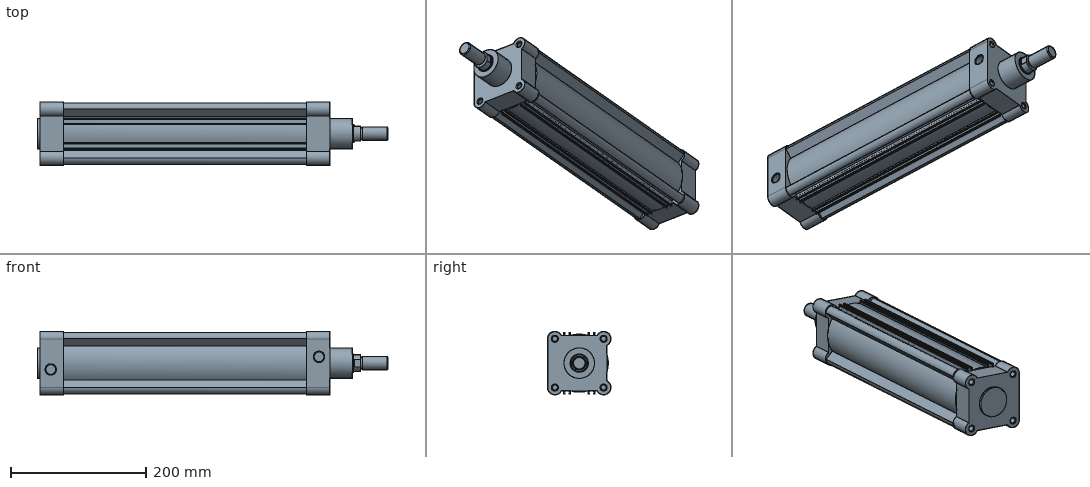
import cadquery as cq
import math

TOTAL_LENGTH = 518.0

CAP_LENGTH = 34.5
REAR_CAP_START = 3.5
FRONT_CAP_START = 397.5
REAR_CAP_END = REAR_CAP_START + CAP_LENGTH
FRONT_CAP_END = FRONT_CAP_START + CAP_LENGTH
CAP_FLAT = 41.0
SCREW_OFFSET = 36.0
LOBE_RADIUS = 11.0
LOBE_REACH = SCREW_OFFSET + LOBE_RADIUS
SCREW_HOLE_RADIUS = 3.9
SCREW_MOUTH_RADIUS = 5.0
SCREW_HOLE_DEPTH = 15.5
BOSS_RADIUS = 22.55
NOSE_END = 465.0
WIPER_RADIUS = 13.5
WIPER_END = 466.5

PORT_RADIUS = 7.0
PORT_MOUTH_RADIUS = 8.5
PORT_DEPTH = 13.0
PORT_DROP = 9.5
PORT_INSET = 16.0

BARREL_RADIUS = 43.0
RIB_RADIUS = 9.6
RIB_HALF_WIDTH = 6.5
SLOT_OFFSET = 18.0
SLOT_TOP = 45.5
SLOT_FLOOR = 39.0
RAIL_HALF_WIDTH = 4.9
UNDERCUT_HALF_WIDTH = 4.0
UNDERCUT_HEIGHT = 1.5
MOUTH_HALF_WIDTH = 3.0
LIP_THICKNESS = 1.0

ROD_RADIUS = 12.5
ROD_END = 477.5
FLAT_START = 468.5
FLAT_HALF_WIDTH = 11.15
THREAD_RADIUS = 10.1
TIP_CHAMFER = 1.5
THREAD_START_CHAMFER = 2.5

CORNER_SIGNS = [(y_sign, z_sign) for y_sign in (-1, 1) for z_sign in (-1, 1)]


def disc(start, end, radius, y=0.0, z=0.0):
    """Cylinder along X between two stations."""
    return cq.Workplane("YZ", origin=(start, y, z)).circle(radius).extrude(end - start)


def bar(start, end, y_range, z_range):
    """Rectangular bar along X."""
    size = (end - start, y_range[1] - y_range[0], z_range[1] - z_range[0])
    return cq.Workplane("XY").box(*size, centered=False).translate((start, y_range[0], z_range[0]))


def chamfered_hole(origin, direction, radius, mouth_radius, depth):
    """Cutter for a blind hole with a 45 degree countersunk mouth."""
    point = cq.Vector(*origin)
    axis = cq.Vector(*direction)
    hole = cq.Solid.makeCylinder(radius, depth, point, axis)
    mouth = cq.Solid.makeCone(mouth_radius, radius, mouth_radius - radius, point, axis)
    return cq.Workplane(hole.fuse(mouth))


def cap_block(start, outer_face, inward, port_z):
    """Cap with corner lobes, a flat port face on -Y, screw holes in the outer face and one port."""
    end = start + CAP_LENGTH
    block = bar(start, end, (-CAP_FLAT, CAP_FLAT), (-CAP_FLAT, CAP_FLAT))
    block = block.union(bar(start, end, (-LOBE_REACH, -SCREW_OFFSET), (-SCREW_OFFSET, SCREW_OFFSET)))
    for y_sign, z_sign in CORNER_SIGNS:
        block = block.union(disc(start, end, LOBE_RADIUS, y_sign * SCREW_OFFSET, z_sign * SCREW_OFFSET))
    for y_sign, z_sign in CORNER_SIGNS:
        mouth = (outer_face, y_sign * SCREW_OFFSET, z_sign * SCREW_OFFSET)
        hole = chamfered_hole(mouth, (inward, 0, 0), SCREW_HOLE_RADIUS, SCREW_MOUTH_RADIUS, SCREW_HOLE_DEPTH)
        block = block.cut(hole)
    port_mouth = (outer_face + inward * PORT_INSET, -LOBE_REACH, port_z)
    return block.cut(chamfered_hole(port_mouth, (0, 1, 0), PORT_RADIUS, PORT_MOUTH_RADIUS, PORT_DEPTH))


def make_rear_cap():
    """Rear cap with its low centring boss."""
    cap = cap_block(REAR_CAP_START, REAR_CAP_START, 1, -PORT_DROP)
    return cap.union(disc(0, REAR_CAP_START, BOSS_RADIUS))


def make_front_cap():
    """Front cap with the nose and the wiper ring around the rod."""
    cap = cap_block(FRONT_CAP_START, FRONT_CAP_END, -1, PORT_DROP)
    cap = cap.union(disc(FRONT_CAP_END, NOSE_END, BOSS_RADIUS))
    return cap.union(disc(NOSE_END, WIPER_END, WIPER_RADIUS))


def corner_rib():
    """Diagonal rib at the +Y +Z corner: parallel sides at 45 degrees and a rounded outer end."""
    screw_distance = SCREW_OFFSET * math.sqrt(2)
    side_length = screw_distance + math.sqrt(RIB_RADIUS**2 - RIB_HALF_WIDTH**2)
    return (
        cq.Workplane("YZ", origin=(REAR_CAP_END, 0, 0))
        .moveTo(0, RIB_HALF_WIDTH)
        .lineTo(side_length, RIB_HALF_WIDTH)
        .threePointArc((screw_distance + RIB_RADIUS, 0), (side_length, -RIB_HALF_WIDTH))
        .lineTo(0, -RIB_HALF_WIDTH)
        .close()
        .extrude(FRONT_CAP_START - REAR_CAP_END)
        .rotate((0, 0, 0), (1, 0, 0), 45)
    )


def sensor_slot(y, side):
    """Raised rail and the T-slot cutter in it, on the top (side 1) or the bottom (side -1)."""
    def slab(half_width, low, high):
        z_range = sorted((side * low, side * high))
        return bar(REAR_CAP_END, FRONT_CAP_START, (y - half_width, y + half_width), z_range)

    rail = slab(RAIL_HALF_WIDTH, 0, SLOT_TOP)
    undercut_top = SLOT_TOP - LIP_THICKNESS
    undercut = slab(UNDERCUT_HALF_WIDTH, undercut_top - UNDERCUT_HEIGHT, undercut_top)
    mouth = slab(MOUTH_HALF_WIDTH, SLOT_FLOOR, SLOT_TOP)
    return rail, undercut.union(mouth)


def make_barrel():
    """Round barrel with four corner ribs and two sensor slots each on the top and bottom."""
    barrel = disc(REAR_CAP_END, FRONT_CAP_START, BARREL_RADIUS)
    for quarter in range(4):
        barrel = barrel.union(corner_rib().rotate((0, 0, 0), (1, 0, 0), 90 * quarter))
    for side in (-1, 1):
        for y in (-SLOT_OFFSET, SLOT_OFFSET):
            rail, slot = sensor_slot(y, side)
            barrel = barrel.union(rail).cut(slot)
    return barrel


def make_rod():
    """Piston rod with two wrench flats and a chamfered threaded end."""
    rod = disc(WIPER_END, ROD_END, ROD_RADIUS)
    for y_range in ((-ROD_RADIUS, -FLAT_HALF_WIDTH), (FLAT_HALF_WIDTH, ROD_RADIUS)):
        rod = rod.cut(bar(FLAT_START, ROD_END, y_range, (-ROD_RADIUS, ROD_RADIUS)))
    thread = disc(ROD_END, TOTAL_LENGTH, THREAD_RADIUS)
    thread = thread.faces("<X").chamfer(THREAD_START_CHAMFER)
    thread = thread.faces(">X").chamfer(TIP_CHAMFER)
    return rod.union(thread)


rear_cap = make_rear_cap()
front_cap = make_front_cap()
barrel = make_barrel()
rod = make_rod()

result = cq.Compound.makeCompound([rear_cap.val(), front_cap.val(), barrel.val(), rod.val()])